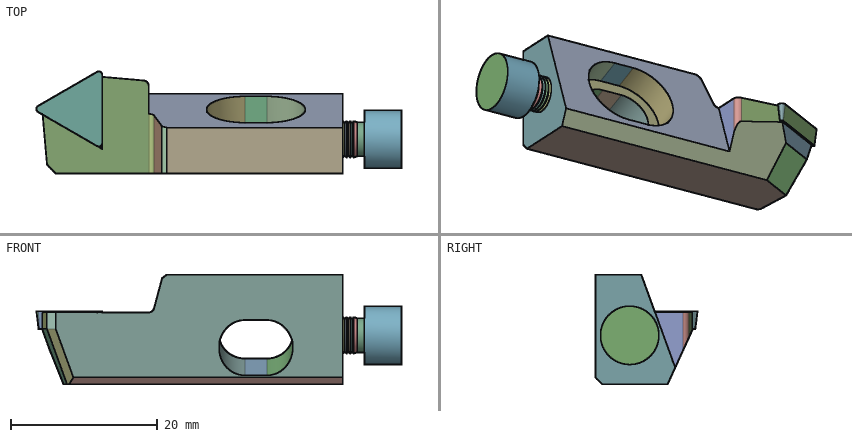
import cadquery as cq
import math


total_length = 50.0
height = 15.0
body_end = 41.95
land_z = 9.85
bottom_chamfer = 0.95

shoulder_foot = 15.95
shoulder_lean = 15.0
shoulder_fillet = 0.75
shoulder_chamfer = 0.5

back_top_y = 6.3
back_lean = 20.0
relief_bottom_y = 9.9
relief_lean = 24.5

nose_break_z = 7.6
nose_rake = 20.0
nose_skew = 5.0
nose_corner_x = 1.45
nose_corner_y = 1.25
nose_corner_run = 1.2
nose_back_end = 15.4
nose_back_y = 12.7
nose_back_radius = 0.8
flank_relief_z = 5.1
flank_relief_lean = 29.0
flank_inset = 0.25

insert_top = 10.0
insert_thickness = 2.45
insert_back = 9.05
insert_y = 8.85
insert_radius = 0.5
insert_clearance = 7.0

slot_x = 30.05
slot_z = 5.0
slot_straight = 3.0
slot_radius = 3.55
seat_radius = 5.25
seat_depth = 3.85

screw_y = 4.7
screw_z = 6.7
head_diameter = 8.0
head_length = 5.1
shank_diameter = 5.0
neck_diameter = 4.7
neck_length = 1.0
screw_engagement = 4.0
thread_pitch = 0.5
thread_depth = 0.25

oversize = 150.0
outer_y = 20.0


def tangent(angle):
    return math.tan(math.radians(angle))


def lean_normal(lean, side_x, side_y, side_z):
    """Unit normal of a face tilted up by `lean` from a horizontal unit direction."""
    level = math.cos(math.radians(lean))
    return (side_x * level, side_y * level, side_z * math.sin(math.radians(lean)))


def outside(point, normal):
    """Large block on the side of a plane that its normal points to."""
    x_direction = cq.Vector(normal).cross(cq.Vector(0.3, 0.2, 1.0))
    plane = cq.Plane(origin=point, xDir=x_direction, normal=normal)
    return cq.Workplane(plane).rect(oversize, oversize).extrude(oversize)


def side_profile():
    """Low nose and tall body, joined by the leaning shoulder."""
    shoulder_top = shoulder_foot + (height - land_z) * tangent(shoulder_lean)
    profile = (
        cq.Workplane("XZ")
        .polyline([
            (0, 0), (body_end, 0), (body_end, height),
            (shoulder_top, height), (shoulder_foot, land_z), (0, land_z),
        ])
        .close()
        .extrude(-outer_y)
    )
    middle_y = outer_y / 2
    foot = cq.selectors.NearestToPointSelector((shoulder_foot, middle_y, land_z))
    top = cq.selectors.NearestToPointSelector((shoulder_top, middle_y, height))
    return profile.edges(foot).fillet(shoulder_fillet).edges(top).chamfer(shoulder_chamfer)


def front_section(z, shift):
    """Plan section with the skewed nose front and its cut corner."""
    front_back_x = nose_corner_x - (outer_y - nose_corner_y) * tangent(nose_skew)
    return cq.Workplane("XY", origin=(shift, 0, z)).polyline([
        (front_back_x, outer_y), (nose_corner_x, nose_corner_y),
        (nose_corner_x + nose_corner_run, 0), (body_end, 0), (body_end, outer_y),
    ]).close()


def nose_front():
    """Upright front, continued downward with the same section sliding back along the rake."""
    upright = front_section(nose_break_z, 0).extrude(height - nose_break_z)
    rake_shift = nose_break_z * tangent(nose_rake)
    lower_wire = front_section(0, rake_shift).val()
    upper_wire = front_section(nose_break_z, 0).val()
    raked = cq.Solid.makeLoft([lower_wire, upper_wire], True)
    return upright.union(cq.Workplane(raked))


def back_outline():
    """Wide nose with a skewed back, narrowing to the body with the leaning back."""
    nose = (
        cq.Workplane("XY")
        .polyline([
            (-nose_back_end, 0), (nose_back_end, 0), (nose_back_end, nose_back_y),
            (-nose_back_end, nose_back_y + 2 * nose_back_end * tangent(nose_skew)),
        ])
        .close()
        .extrude(land_z)
        .edges(cq.selectors.NearestToPointSelector((nose_back_end, nose_back_y, land_z / 2)))
        .fillet(nose_back_radius)
    )
    body = cq.Workplane("XY").box(body_end, outer_y, height, centered=False)
    body = body.cut(outside((0, back_top_y, height), lean_normal(back_lean, 0, 1, 1)))
    outline = nose.union(body)
    return outline.cut(outside((0, relief_bottom_y, 0), lean_normal(relief_lean, 0, 1, -1)))


def trim_flank(holder):
    """Clear the holder below the cutting edge with a clearance face and a steeper relief."""
    side_x = -math.sin(math.radians(30))
    side_y = math.cos(math.radians(30))
    flank_top = insert_top - insert_thickness
    inset = insert_thickness * tangent(insert_clearance) + flank_inset
    sharp_tip_x = -insert_radius
    drop = (flank_top - flank_relief_z) * tangent(insert_clearance)
    upper = (sharp_tip_x - inset * side_x, insert_y - inset * side_y, flank_top)
    lower_inset = inset + drop
    lower = (sharp_tip_x - lower_inset * side_x, insert_y - lower_inset * side_y, flank_relief_z)
    clearance = outside(upper, lean_normal(insert_clearance, side_x, side_y, -1))
    relief = outside(lower, lean_normal(flank_relief_lean, side_x, side_y, -1))
    return holder.cut(clearance).cut(relief)


def insert_triangle(corner_radius):
    """Equilateral triangle that narrows downward by the clearance angle."""
    sharp_tip_x = -insert_radius
    half_side = (insert_back - sharp_tip_x) * tangent(30)
    triangle = cq.Sketch().polygon([
        (sharp_tip_x, insert_y), (insert_back, insert_y - half_side),
        (insert_back, insert_y + half_side), (sharp_tip_x, insert_y),
    ])
    if corner_radius > 0:
        triangle = triangle.vertices().fillet(corner_radius)
    top = cq.Workplane("XY", origin=(0, 0, insert_top)).placeSketch(triangle)
    return top.extrude(-insert_thickness, taper=insert_clearance)


def slot_cutter():
    """Through slot with a wider seat sunk from the sloped back."""
    axis = cq.Vector(lean_normal(back_lean, 0, 1, 1))
    front = cq.Vector(slot_x, 0, slot_z)
    back_point = cq.Vector(slot_x, back_top_y, height)
    wall = (back_point - front).dot(axis)

    def obround(start, radius, length):
        plane = cq.Plane(origin=front + axis * start, xDir=(1, 0, 0), normal=axis)
        return cq.Workplane(plane).slot2D(slot_straight + 2 * radius, 2 * radius).extrude(length)

    through = obround(-wall, slot_radius, 3 * wall)
    return through.union(obround(wall - seat_depth, seat_radius, 2 * seat_depth))


def make_holder():
    """Cartridge with its cutting tip in one piece."""
    holder = side_profile().intersect(nose_front()).intersect(back_outline())
    holder = holder.cut(outside((0, bottom_chamfer, 0), lean_normal(45, 0, -1, -1)))
    holder = trim_flank(holder)
    holder = holder.cut(insert_triangle(0)).union(insert_triangle(insert_radius))
    screw_hole = (
        cq.Workplane("YZ", origin=(body_end, screw_y, screw_z))
        .circle(shank_diameter / 2)
        .extrude(-screw_engagement)
    )
    return holder.cut(slot_cutter()).cut(screw_hole).solids()


def make_screw():
    """Screw turned about its axis, with thread rings between the holder and the neck."""
    shank_start = body_end - screw_engagement
    head_start = total_length - head_length
    neck_start = head_start - neck_length
    crest = shank_diameter / 2
    root = crest - thread_depth
    outline = [(shank_start, 0), (shank_start, crest), (body_end, crest)]
    ring_count = int((neck_start - body_end) / thread_pitch)
    for ring in range(ring_count):
        ring_start = body_end + ring * thread_pitch
        outline.append((ring_start + thread_pitch / 2, root))
        outline.append((ring_start + thread_pitch, crest))
    outline += [
        (neck_start, neck_diameter / 2), (head_start, neck_diameter / 2),
        (head_start, head_diameter / 2), (total_length, head_diameter / 2), (total_length, 0),
    ]
    turned = cq.Workplane("XY").polyline(outline).close().revolve(360, (0, 0, 0), (1, 0, 0))
    return turned.translate((0, screw_y, screw_z))


holder = make_holder()
screw = make_screw()
result = cq.Compound.makeCompound([holder.val(), screw.val()])